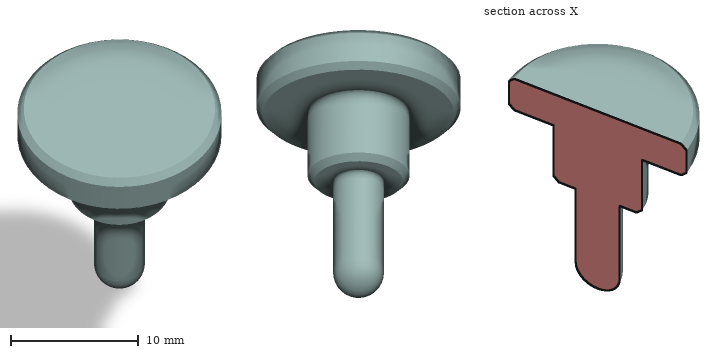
import cadquery as cq
import math

total_height = 19.5
head_diameter = 16.0
head_height = 3.5
collar_diameter = 8.0
collar_height = 6.0
pin_diameter = 4.0
chamfer_size = 0.5

head_radius = head_diameter / 2
collar_radius = collar_diameter / 2
pin_radius = pin_diameter / 2
head_bottom = total_height - head_height
collar_bottom = head_bottom - collar_height

arc_mid_x = pin_radius * math.sin(math.pi / 4)
arc_mid_z = pin_radius * (1 - math.cos(math.pi / 4))

profile = (
    cq.Workplane("XZ")
    .moveTo(0, 0)
    .threePointArc((arc_mid_x, arc_mid_z), (pin_radius, pin_radius))
    .lineTo(pin_radius, collar_bottom)
    .lineTo(collar_radius - chamfer_size, collar_bottom)
    .lineTo(collar_radius, collar_bottom + chamfer_size)
    .lineTo(collar_radius, head_bottom)
    .lineTo(head_radius - chamfer_size, head_bottom)
    .lineTo(head_radius, head_bottom + chamfer_size)
    .lineTo(head_radius, total_height - chamfer_size)
    .lineTo(head_radius - chamfer_size, total_height)
    .lineTo(0, total_height)
    .close()
)

result = profile.revolve(360, (0, 0), (0, 1))